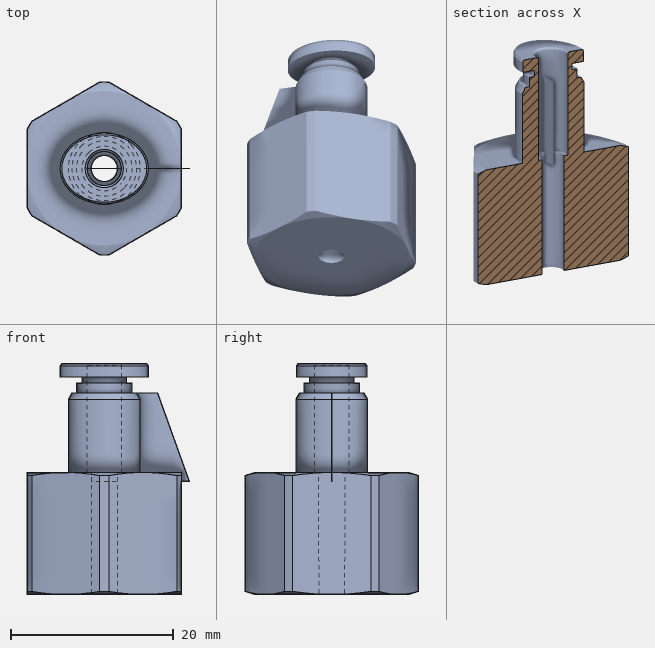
import cadquery as cq
import math

ACROSS_FLATS = 19.0
CORNER_DIAMETER = 21.3
HEX_HEIGHT = 15.0
HEX_CHAMFER_HEIGHT = 0.37

SLEEVE_RADIUS = 4.425
SLEEVE_TOP = 24.8
SLEEVE_CHAMFER_HEIGHT = 0.8
SLEEVE_CHAMFER_WIDTH = 0.46

COLLAR_RADIUS = 3.42
COLLAR_TOP = 26.0
NECK_RADIUS = 2.75

BUTTON_LENGTH = 10.85
BUTTON_WIDTH = 8.7
BUTTON_BOTTOM = 26.75
BUTTON_TOP = 28.4
BUTTON_CHAMFER_HEIGHT = 0.3
BUTTON_CHAMFER_WIDTH = 0.2

SOCKET_RADIUS = 2.1
SOCKET_FLOOR = HEX_HEIGHT
SOCKET_CHAMFER = 0.25
BORE_RADIUS = 1.6

WEB_THICKNESS = 0.02
WEB_START_X = -(SOCKET_RADIUS + SLEEVE_RADIUS) / 2
WEB_TOP_X = 6.57
WEB_TIP_X = 10.48
WEB_BOTTOM = 13.9


def cylinder(radius, bottom, top):
    return cq.Workplane("XY").workplane(offset=bottom).circle(radius).extrude(top - bottom)


def make_base():
    """Hexagon with two corners on the Y axis, rounded and bevelled at the corners."""
    sharp_corner_diameter = ACROSS_FLATS / math.cos(math.pi / 6)
    hexagon = (
        cq.Workplane("XY")
        .transformed(rotate=(0, 0, 90))
        .polygon(6, sharp_corner_diameter)
        .extrude(HEX_HEIGHT)
    )
    flat_radius = ACROSS_FLATS / 2
    corner_radius = CORNER_DIAMETER / 2
    bevelled_blank = (
        cq.Workplane("XZ")
        .moveTo(0, 0)
        .lineTo(flat_radius, 0)
        .lineTo(corner_radius, HEX_CHAMFER_HEIGHT)
        .lineTo(corner_radius, HEX_HEIGHT - HEX_CHAMFER_HEIGHT)
        .lineTo(flat_radius, HEX_HEIGHT)
        .lineTo(0, HEX_HEIGHT)
        .close()
        .revolve(360, (0, 0), (0, 1))
    )
    return hexagon.intersect(bevelled_blank)


def make_sleeve():
    return (
        cylinder(SLEEVE_RADIUS, HEX_HEIGHT, SLEEVE_TOP)
        .faces(">Z")
        .chamfer(SLEEVE_CHAMFER_HEIGHT, SLEEVE_CHAMFER_WIDTH)
    )


def make_button():
    """Oval plate with a bevelled upper rim."""
    bevel_bottom = BUTTON_TOP - BUTTON_CHAMFER_HEIGHT
    half_length = BUTTON_LENGTH / 2
    half_width = BUTTON_WIDTH / 2
    plate = (
        cq.Workplane("XY")
        .workplane(offset=BUTTON_BOTTOM)
        .ellipse(half_length, half_width)
        .extrude(bevel_bottom - BUTTON_BOTTOM)
    )
    bevel = (
        cq.Workplane("XY")
        .workplane(offset=bevel_bottom)
        .ellipse(half_length, half_width)
        .workplane(offset=BUTTON_CHAMFER_HEIGHT)
        .ellipse(half_length - BUTTON_CHAMFER_WIDTH, half_width - BUTTON_CHAMFER_WIDTH)
        .loft(ruled=True)
    )
    return plate.union(bevel)


def make_passage():
    """Tube socket with a chamfered mouth, continued by the bore through the base."""
    mouth_radius = SOCKET_RADIUS + SOCKET_CHAMFER
    return (
        cq.Workplane("XZ")
        .moveTo(0, 0)
        .lineTo(BORE_RADIUS, 0)
        .lineTo(BORE_RADIUS, SOCKET_FLOOR)
        .lineTo(SOCKET_RADIUS, SOCKET_FLOOR)
        .lineTo(SOCKET_RADIUS, BUTTON_TOP - SOCKET_CHAMFER)
        .lineTo(mouth_radius, BUTTON_TOP)
        .lineTo(0, BUTTON_TOP)
        .close()
        .revolve(360, (0, 0), (0, 1))
    )


def make_web():
    return (
        cq.Workplane("XZ")
        .moveTo(WEB_START_X, WEB_BOTTOM)
        .lineTo(WEB_TIP_X, WEB_BOTTOM)
        .lineTo(WEB_TOP_X, SLEEVE_TOP)
        .lineTo(WEB_START_X, SLEEVE_TOP)
        .close()
        .extrude(WEB_THICKNESS / 2, both=True)
    )


body = (
    make_base()
    .union(make_sleeve())
    .union(cylinder(COLLAR_RADIUS, SLEEVE_TOP, COLLAR_TOP))
    .union(cylinder(NECK_RADIUS, COLLAR_TOP, BUTTON_BOTTOM))
    .union(make_button())
)
result = body.cut(make_passage()).union(make_web())